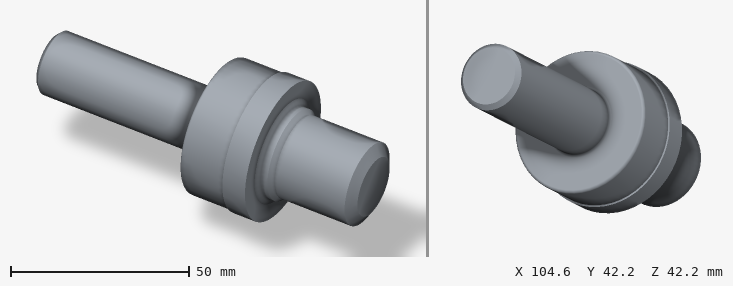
import cadquery as cq
import math

shank_length = 53.7
collar_end = 67.9
flange_end = 75.2
shoulder_end = 78.3
journal_start = 79.8
total_length = 104.6

shank_radius = 9.6
collar_radius = 20.6
flange_radius = 21.1
shoulder_radius = 13.8
journal_radius = 12.6

shank_chamfer = 1.4
collar_fillet = 0.8
root_fillet = 0.7
journal_chamfer_length = 2.1
cone_angle = math.radians(60)

relief_length = 1.6
blend_radius = 0.7
blend_start = flange_end + relief_length - blend_radius * math.sin(cone_angle)
blend_start_radius = shoulder_radius + blend_radius * (1 - math.cos(cone_angle))
cone_top_radius = blend_start_radius + (blend_start - flange_end) * math.tan(cone_angle)
tip_radius = journal_radius - journal_chamfer_length * math.tan(cone_angle)


def tangent_arc_midpoint(center_x, center_r, radius, start_angle, end_angle):
    """Middle point of an arc given by its center and end angles in degrees."""
    angle = math.radians((start_angle + end_angle) / 2)
    return center_x + radius * math.cos(angle), center_r + radius * math.sin(angle)


root_middle = tangent_arc_midpoint(
    shank_length - root_fillet, shank_radius + root_fillet, root_fillet, -90, 0
)
collar_middle = tangent_arc_midpoint(
    shank_length + collar_fillet, collar_radius - collar_fillet, collar_fillet, 180, 90
)
blend_middle = tangent_arc_midpoint(
    flange_end + relief_length,
    shoulder_radius + blend_radius,
    blend_radius,
    270 - math.degrees(cone_angle),
    270,
)

half_profile = (
    cq.Workplane("XY")
    .lineTo(0, shank_radius - shank_chamfer)
    .lineTo(shank_chamfer, shank_radius)
    .lineTo(shank_length - root_fillet, shank_radius)
    .threePointArc(root_middle, (shank_length, shank_radius + root_fillet))
    .lineTo(shank_length, collar_radius - collar_fillet)
    .threePointArc(collar_middle, (shank_length + collar_fillet, collar_radius))
    .lineTo(collar_end, collar_radius)
    .lineTo(collar_end, flange_radius)
    .lineTo(flange_end, flange_radius)
    .lineTo(flange_end, cone_top_radius)
    .lineTo(blend_start, blend_start_radius)
    .threePointArc(blend_middle, (flange_end + relief_length, shoulder_radius))
    .lineTo(shoulder_end, shoulder_radius)
    .lineTo(journal_start, journal_radius)
    .lineTo(total_length - journal_chamfer_length, journal_radius)
    .lineTo(total_length, tip_radius)
    .lineTo(total_length, 0)
    .close()
)

result = half_profile.revolve(360, (0, 0, 0), (1, 0, 0))